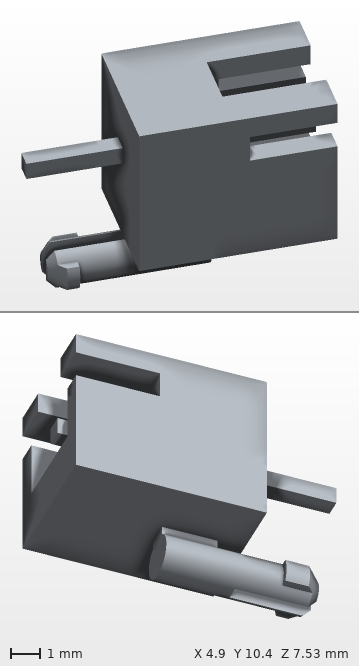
import cadquery as cq

body_width = 4.9
body_length = 7.0
body_height = 5.72

pin_size = 0.65
pin_height = 3.37
pin_projection = 10.4 - body_length
pin_recess = 0.18

wall = 0.8
cavity_depth = 3.67
cavity_width = body_width - 2 * wall
cavity_top = body_height - wall
cavity_height = 2 * (cavity_top - pin_height)
top_slot_width = 2.03
side_notch_depth = 3.09
side_notch_height = 1.0

peg_radius = 0.8
peg_axis_height = -1.01
peg_back = 3.03
peg_length = 5.72
peg_tip = peg_back - peg_length
tip_radius = 0.5
split_width = 0.5
split_length = 3.0
neck_width = 0.83
neck_length = 2.03

barb_radius = 1.05
barb_height = 0.9
left_barb_length = 1.41
right_barb_length = 1.0


def block(x_min, x_max, y_min, y_max, z_min, z_max):
    """Axis-aligned block between the given limits."""
    size = (x_max - x_min, y_max - y_min, z_max - z_min)
    return cq.Workplane("XY").box(*size, centered=False).translate((x_min, y_min, z_min))


def centred_block(width, y_min, y_max, z_min, z_max):
    """Block that is symmetric about X = 0."""
    return block(-width / 2, width / 2, y_min, y_max, z_min, z_max)


def pointed_cylinder(radius, length):
    """Cylinder on the peg axis with a 45 degree cone down to the flat tip."""
    cone_length = radius - tip_radius
    profile = (
        cq.Workplane("XY")
        .moveTo(0, peg_tip)
        .lineTo(tip_radius, peg_tip)
        .lineTo(radius, peg_tip + cone_length)
        .lineTo(radius, peg_tip + length)
        .lineTo(0, peg_tip + length)
        .close()
    )
    return profile.revolve(360, (0, 0, 0), (0, 1, 0)).translate((0, 0, peg_axis_height))


def make_housing():
    cavity_front = body_length - cavity_depth
    notch_front = body_length - side_notch_depth
    notch_bottom = cavity_top - side_notch_height
    cavity_bottom = cavity_top - cavity_height
    housing = centred_block(body_width, 0, body_length, 0, body_height)
    cavity = centred_block(cavity_width, cavity_front, body_length, cavity_bottom, cavity_top)
    top_slot = centred_block(top_slot_width, cavity_front, body_length, pin_height, body_height)
    side_notch = centred_block(body_width, notch_front, body_length, notch_bottom, cavity_top)
    return housing.cut(cavity).cut(top_slot).cut(side_notch)


def make_pin():
    return centred_block(
        pin_size,
        -pin_projection,
        body_length - pin_recess,
        pin_height - pin_size / 2,
        pin_height + pin_size / 2,
    )


def make_barb(side, length):
    """Barb on one side of the peg: side is -1 for left and +1 for right."""
    x_min, x_max = sorted((0, side * barb_radius))
    z_min = peg_axis_height - barb_height / 2
    limits = block(x_min, x_max, peg_tip, peg_tip + length, z_min, z_min + barb_height)
    return pointed_cylinder(barb_radius, length).intersect(limits)


def make_peg():
    peg = pointed_cylinder(peg_radius, peg_length)
    for side, length in ((-1, left_barb_length), (1, right_barb_length)):
        peg = peg.union(make_barb(side, length))
    split = centred_block(
        split_width,
        peg_tip,
        peg_tip + split_length,
        peg_axis_height - peg_radius,
        peg_axis_height + peg_radius,
    )
    neck = centred_block(neck_width, peg_back - neck_length, peg_back, peg_axis_height, 0)
    return peg.cut(split).union(neck)


result = make_housing().union(make_pin()).union(make_peg())